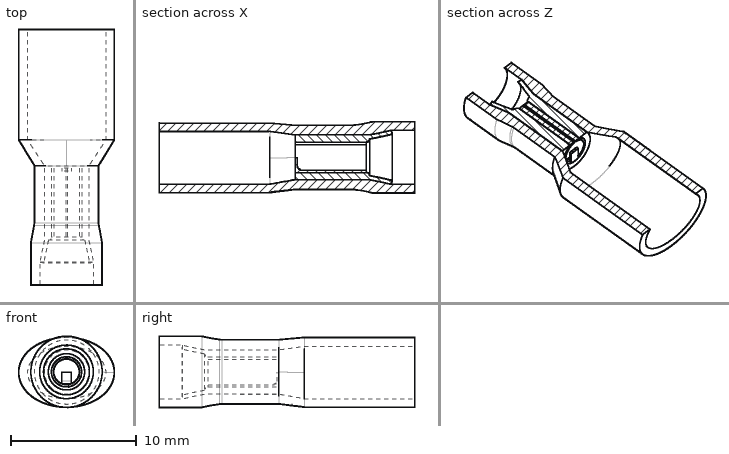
import cadquery as cq
import math

LENGTH = 20.33
MOUTH_END = 3.4
NECK_CORNER = 4.88
NECK_END = 9.51
SHROUD_START = 11.55

MOUTH_RADIUS = 5.67 / 2
NECK_RADIUS = 2.56
NECK_BLEND = 1.02
SHROUD_HALF_WIDTH = 7.62 / 2
SHROUD_HALF_HEIGHT = 5.57 / 2
SHROUD_DROP = 0.05
MOUTH_BORE = 2.13
SHROUD_WALL = MOUTH_RADIUS - MOUTH_BORE

FLARE_ANGLE = math.radians(12)
LIP_DEPTH = 1.79
LIP_RADIUS = 1.83
THROAT_RADIUS = 1.45
SLEEVE_BORE = 1.2
ENTRY_ROUND = THROAT_RADIUS - SLEEVE_BORE
FLARE_SLOPE = math.tan(FLARE_ANGLE)
THROAT_DEPTH = LIP_DEPTH + (LIP_RADIUS - THROAT_RADIUS) / FLARE_SLOPE
LIP_RIM_DEPTH = LIP_DEPTH + (MOUTH_BORE - LIP_RADIUS) * FLARE_SLOPE
SLEEVE_OUTER = MOUTH_BORE - (THROAT_DEPTH - LIP_RIM_DEPTH) * FLARE_SLOPE

BARREL_BORE = 1.02
SHEET = SLEEVE_BORE - BARREL_BORE
BARREL_START = THROAT_DEPTH + ENTRY_ROUND
SEAM_GAP = 0.1
TAB_WIDTH = 0.8
TAB_TOP = -0.02
TAB_BEND = 0.22

PROFILE_PLANE = cq.Plane(origin=(0, 0, 0), xDir=(-1, 0, 0), normal=(0, 0, -1))


def revolve_about_y(profile):
    """Turn a closed (radius, Y) profile into a solid of revolution about the Y axis."""
    return profile.close().revolve(360, (0, 0, 0), (0, 1, 0))


def transition(neck_radius, half_width, half_height):
    """Straight-sided loft from the round neck to the oval shroud."""
    neck = cq.Wire.makeCircle(neck_radius, cq.Vector(0, NECK_END, 0), cq.Vector(0, 1, 0))
    oval = cq.Wire.makeEllipse(
        half_width,
        half_height,
        cq.Vector(0, SHROUD_START, -SHROUD_DROP),
        cq.Vector(0, 1, 0),
        cq.Vector(1, 0, 0),
    )
    return cq.Workplane(cq.Solid.makeLoft([neck, oval], True))


def oval_prism(half_width, half_height):
    """Straight oval length from the transition to the open end at +Y."""
    return (
        cq.Workplane("XZ", origin=(0, SHROUD_START, -SHROUD_DROP))
        .ellipse(half_width, half_height)
        .extrude(SHROUD_START - LENGTH)
    )


def make_housing():
    """Insulating housing: round mouth, waisted neck and hollow oval shroud."""
    shoulder_angle = math.atan((MOUTH_RADIUS - NECK_RADIUS) / (NECK_CORNER - MOUTH_END))
    tangent_length = NECK_BLEND * math.tan(shoulder_angle / 2)
    blend_start = (
        NECK_RADIUS + tangent_length * math.sin(shoulder_angle),
        NECK_CORNER - tangent_length * math.cos(shoulder_angle),
    )
    blend_end = (NECK_RADIUS, NECK_CORNER + tangent_length)
    round_outside = revolve_about_y(
        cq.Workplane(PROFILE_PLANE)
        .lineTo(MOUTH_RADIUS, 0)
        .lineTo(MOUTH_RADIUS, MOUTH_END)
        .lineTo(*blend_start)
        .tangentArcPoint(blend_end, relative=False)
        .lineTo(NECK_RADIUS, NECK_END)
        .lineTo(0, NECK_END)
    )
    round_cavity = revolve_about_y(
        cq.Workplane(PROFILE_PLANE)
        .lineTo(MOUTH_BORE, 0)
        .lineTo(MOUTH_BORE, LIP_RIM_DEPTH)
        .lineTo(SLEEVE_OUTER, THROAT_DEPTH)
        .lineTo(SLEEVE_OUTER, NECK_END)
        .lineTo(0, NECK_END)
    )
    inner_width = SHROUD_HALF_WIDTH - SHROUD_WALL
    inner_height = SHROUD_HALF_HEIGHT - SHROUD_WALL
    return (
        round_outside
        .union(transition(NECK_RADIUS, SHROUD_HALF_WIDTH, SHROUD_HALF_HEIGHT))
        .union(oval_prism(SHROUD_HALF_WIDTH, SHROUD_HALF_HEIGHT))
        .cut(round_cavity)
        .cut(transition(SLEEVE_OUTER, inner_width, inner_height))
        .cut(oval_prism(inner_width, inner_height))
    )


def make_sleeve():
    """Metal sleeve in the neck, flared towards the mouth and rounded into its bore."""
    diagonal = ENTRY_ROUND * math.sqrt(0.5)
    round_mid = (THROAT_RADIUS - diagonal, THROAT_DEPTH + ENTRY_ROUND - diagonal)
    return revolve_about_y(
        cq.Workplane(PROFILE_PLANE)
        .moveTo(MOUTH_BORE, LIP_RIM_DEPTH)
        .lineTo(LIP_RADIUS, LIP_DEPTH)
        .lineTo(THROAT_RADIUS, THROAT_DEPTH)
        .threePointArc(round_mid, (SLEEVE_BORE, BARREL_START))
        .lineTo(SLEEVE_BORE, NECK_END)
        .lineTo(SLEEVE_OUTER, NECK_END)
        .lineTo(SLEEVE_OUTER, THROAT_DEPTH)
    )


def make_terminal():
    """Rolled barrel with an open seam on top and a stop tab bent up from its floor."""
    barrel_length = NECK_END - BARREL_START
    section = cq.Workplane("XZ", origin=(0, BARREL_START, 0))
    barrel = section.circle(SLEEVE_BORE).circle(BARREL_BORE).extrude(-barrel_length)
    seam_center = (BARREL_BORE + SLEEVE_BORE) / 2
    seam = section.center(0, seam_center).rect(SEAM_GAP, 2 * SHEET).extrude(-barrel_length)
    tab_face = NECK_END - SHEET
    tab_floor = -math.sqrt(BARREL_BORE**2 - (TAB_WIDTH / 2) ** 2)
    tab_root = -BARREL_BORE - SHEET / 2
    tab = (
        cq.Workplane("YZ", origin=(-TAB_WIDTH / 2, 0, 0))
        .moveTo(NECK_END, TAB_TOP)
        .lineTo(tab_face, TAB_TOP)
        .lineTo(tab_face, tab_floor + TAB_BEND)
        .tangentArcPoint((tab_face - TAB_BEND, tab_floor), relative=False)
        .lineTo(tab_face - TAB_BEND, tab_root)
        .lineTo(NECK_END, tab_root)
        .close()
        .extrude(TAB_WIDTH)
    )
    return barrel.cut(seam).union(tab)


housing = make_housing()
sleeve = make_sleeve()
terminal = make_terminal()
result = cq.Compound.makeCompound([housing.val(), sleeve.val(), terminal.val()])